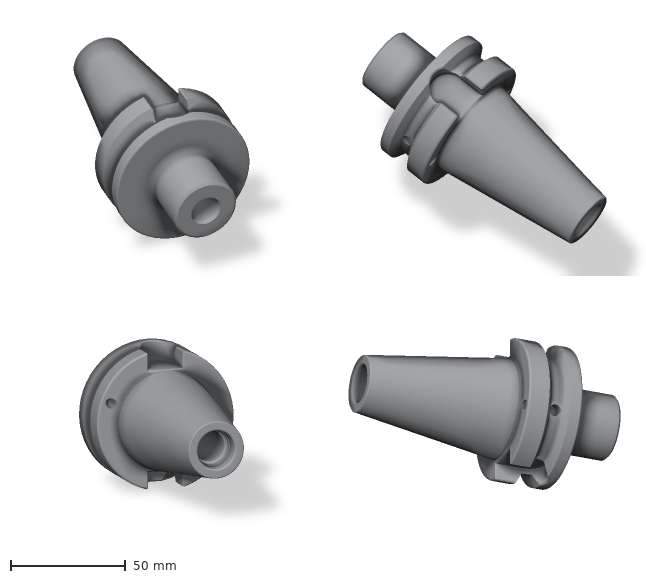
import cadquery as cq
import math

tolerance = 0.01

total_length = 117.4
flange_front = 67.4
flange_back = 92.4

gauge_x = 65.9
gauge_radius = 22.3
taper_slope = 7 / 24 / 2
nose_chamfer = 0.4
relief_step = 0.18
relief_radius = gauge_radius - relief_step
relief_fillet = 0.7

flange_radius = 63.0 / 2
flange_edge_radius = 0.9
groove_radius = 53.0 / 2
groove_left = 76.8
groove_right = 87.0
groove_wall_angle = 60
groove_fillet = 0.7
groove_overcut = 1.2

shank_radius = 14.5
shank_fillet = 3.0
shank_chamfer = 1.0

slot_width = 16.1
slot_floor = 45.2 / 2
slot_end = 88.0
slot_overrun = 5.9
slot_edge_chamfer = 0.6

bore_radius = 14.0 / 2
pilot_radius = 17.0 / 2
mouth_rounding = 1.0
pilot_depth = 6.6
lead_radius = 8.1
lead_length = 1.4
cone_length = 1.6

hole_angle = 20
face_hole_diameter = 4.5
face_hole_radius = 26.8
face_hole_tilt = 34
face_hole_depth = 2.3
groove_hole_diameter = 5.0
groove_hole_x = (groove_left + groove_right) / 2
groove_hole_end_radius = 20.3
drill_point_angle = 118


def revolve_about_x(profile):
    return profile.close().revolve(360, (0, 0, 0), (1, 0, 0))


def taper_radius(x):
    return gauge_radius - (gauge_x - x) * taper_slope


def make_body():
    profile = (
        cq.Workplane("XZ")
        .moveTo(0, 0)
        .lineTo(0, taper_radius(0) - nose_chamfer)
        .lineTo(nose_chamfer, taper_radius(nose_chamfer))
        .lineTo(gauge_x, gauge_radius)
        .lineTo(gauge_x, relief_radius)
        .lineTo(flange_front - relief_fillet, relief_radius)
        .radiusArc((flange_front, relief_radius + relief_fillet), -relief_fillet)
        .lineTo(flange_front, flange_radius)
        .lineTo(flange_back, flange_radius)
        .lineTo(flange_back, shank_radius + shank_fillet)
        .radiusArc((flange_back + shank_fillet, shank_radius), -shank_fillet)
        .lineTo(total_length - shank_chamfer, shank_radius)
        .lineTo(total_length, shank_radius - shank_chamfer)
        .lineTo(total_length, 0)
    )
    return revolve_about_x(profile)


def make_slot(side):
    half = slot_width / 2
    straight = slot_end - half
    return (
        cq.Workplane("XY")
        .workplane(offset=side * slot_floor)
        .moveTo(flange_front - slot_overrun, -half)
        .lineTo(straight, -half)
        .threePointArc((slot_end, 0), (straight, half))
        .lineTo(flange_front - slot_overrun, half)
        .close()
        .extrude(side * flange_radius)
    )


def chamfer_slot_mouths(body):
    half = slot_width / 2
    mouth_height = math.sqrt(flange_radius**2 - half**2)

    def on_mouth(edge):
        center = edge.Center()
        height = abs(center.z)
        in_slot = (
            flange_front - tolerance < center.x < slot_end
            and abs(center.y) < half + tolerance
            and height > slot_floor - tolerance
        )
        return in_slot and (center.x < flange_front + tolerance or height > mouth_height - tolerance)

    return body.edges().filter(on_mouth).chamfer(slot_edge_chamfer)


def round_flange_edges(body):
    def on_rim(edge):
        return edge.geomType() == "CIRCLE" and abs(edge.radius() - flange_radius) < tolerance

    return body.edges().filter(on_rim).fillet(flange_edge_radius)


def make_groove():
    wall_run = (flange_radius - groove_radius) / math.tan(math.radians(groove_wall_angle))
    profile = (
        cq.Workplane("XZ")
        .moveTo(groove_left, flange_radius)
        .lineTo(groove_left + wall_run, groove_radius)
        .lineTo(groove_right - wall_run, groove_radius)
        .lineTo(groove_right, flange_radius)
        .lineTo(groove_right, flange_radius + groove_overcut)
        .lineTo(groove_left, flange_radius + groove_overcut)
    )

    def on_floor(edge):
        return edge.geomType() == "CIRCLE" and abs(edge.radius() - groove_radius) < tolerance

    return revolve_about_x(profile).edges().filter(on_floor).fillet(groove_fillet)


def make_bore():
    cone_start = pilot_depth + lead_length
    profile = (
        cq.Workplane("XZ")
        .moveTo(0, 0)
        .lineTo(0, pilot_radius + mouth_rounding)
        .radiusArc((mouth_rounding, pilot_radius), -mouth_rounding)
        .lineTo(pilot_depth, pilot_radius)
        .lineTo(pilot_depth, lead_radius)
        .lineTo(cone_start, lead_radius)
        .lineTo(cone_start + cone_length, bore_radius)
        .lineTo(total_length, bore_radius)
        .lineTo(total_length, 0)
    )
    return revolve_about_x(profile)


def drill(start, direction, diameter, length):
    """Drilled hole with a conical point; the length is that of the full diameter."""
    radius = diameter / 2
    axis = cq.Vector(*direction)
    end = cq.Vector(*start) + axis * length
    point_length = radius / math.tan(math.radians(drill_point_angle / 2))
    barrel = cq.Solid.makeCylinder(radius, length, cq.Vector(*start), axis)
    point = cq.Solid.makeCone(radius, 0, point_length, end, axis)
    return cq.Workplane(barrel).union(cq.Workplane(point))


def make_face_hole():
    """Hole in the flange face on the +Y side, leaning toward the axis as it goes in."""
    tilt = math.radians(face_hole_tilt)
    direction = (math.cos(tilt), -math.sin(tilt), 0)
    overrun = face_hole_diameter
    start = (flange_front - overrun * direction[0], face_hole_radius - overrun * direction[1], 0)
    return drill(start, direction, face_hole_diameter, face_hole_depth + overrun)


def make_groove_hole():
    """Radial hole in the groove floor on the +Y side."""
    start = (groove_hole_x, flange_radius, 0)
    return drill(start, (0, -1, 0), groove_hole_diameter, flange_radius - groove_hole_end_radius)


result = make_body()
for side in (1, -1):
    result = result.cut(make_slot(side))
result = chamfer_slot_mouths(result)
result = round_flange_edges(result)
result = result.cut(make_groove())
result = result.cut(make_bore())
for hole in (make_face_hole(), make_groove_hole()):
    for turn in (0, 180):
        result = result.cut(hole.rotate((0, 0, 0), (1, 0, 0), hole_angle + turn))